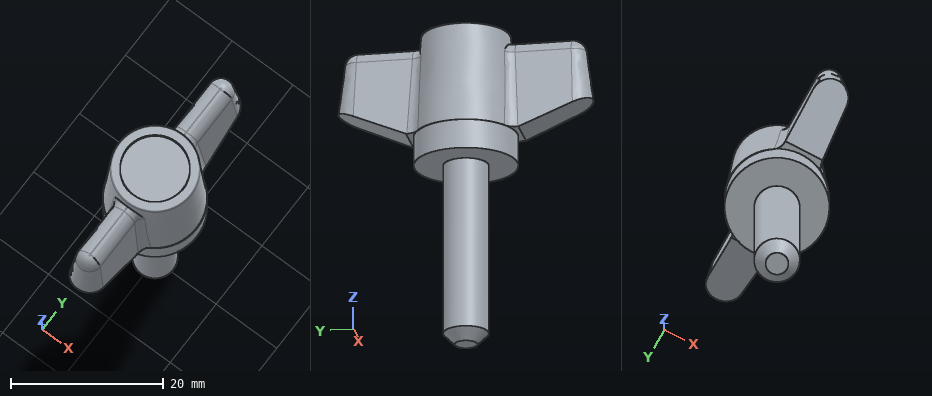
import cadquery as cq
import math

total_height = 42.9
stud_length = 25.0
stud_diameter = 6.0
tip_chamfer = 1.5

collar_diameter = 13.75
collar_height = 4.0
barrel_base_radius = 6.8
barrel_top_radius = 5.9
barrel_edge_round = 0.15
recess_diameter = 9.2
recess_depth = 0.5
barrel_base_z = stud_length + collar_height

wing_span = 34.0
wing_top_z = 41.45
wing_base_half_width = 2.8
wing_top_half_width = 1.65
wing_base_tip_y = 17.55
wing_top_tip_y = 15.9
base_root_radius = 2.0
top_root_radius = 1.4
crown_radius = 1.75
crown_start_y = 4.3

underside_inner_y = 7.5
underside_outer_z = 33.08


def barrel_radius_at(z):
    rise = (z - barrel_base_z) / (total_height - barrel_base_z)
    return barrel_base_radius + rise * (barrel_top_radius - barrel_base_radius)


def make_stud():
    return (
        cq.Workplane("XY")
        .circle(stud_diameter / 2)
        .extrude(stud_length)
        .faces("<Z")
        .chamfer(tip_chamfer)
    )


def make_hub():
    collar = (
        cq.Workplane("XY", origin=(0, 0, stud_length))
        .circle(collar_diameter / 2)
        .extrude(collar_height)
    )
    barrel = (
        cq.Workplane("XY", origin=(0, 0, barrel_base_z))
        .circle(barrel_base_radius)
        .workplane(offset=total_height - barrel_base_z)
        .circle(barrel_top_radius)
        .loft()
        .faces(">Z")
        .edges()
        .fillet(barrel_edge_round)
    )
    return collar.union(barrel)


def wing_section(z, half_width, tip_y, root_radius):
    """Plan outline of the +Y wing, with flares tangent to the barrel at its root."""
    barrel_radius = barrel_radius_at(z)
    flare_x = half_width + root_radius
    flare_reach = barrel_radius + root_radius
    flare_y = math.sqrt(flare_reach**2 - flare_x**2)
    contact_x = flare_x * barrel_radius / flare_reach
    contact_y = flare_y * barrel_radius / flare_reach
    mid_angle = math.pi + math.atan2(flare_y, flare_x) / 2
    mid_x = flare_x + root_radius * math.cos(mid_angle)
    mid_y = flare_y + root_radius * math.sin(mid_angle)
    tip_center_y = tip_y - half_width
    outline = (
        cq.Workplane("XY", origin=(0, 0, z))
        .lineTo(contact_x, contact_y)
        .threePointArc((mid_x, mid_y), (half_width, flare_y))
        .lineTo(half_width, tip_center_y)
        .threePointArc((0, tip_y), (-half_width, tip_center_y))
        .lineTo(-half_width, flare_y)
        .threePointArc((-mid_x, mid_y), (-contact_x, contact_y))
        .close()
    )
    return outline.val()


def make_wing():
    base = wing_section(barrel_base_z, wing_base_half_width, wing_base_tip_y, base_root_radius)
    top = wing_section(wing_top_z, wing_top_half_width, wing_top_tip_y, top_root_radius)
    blade = cq.Workplane(cq.Solid.makeLoft([base, top], True))
    outer_edges = cq.selectors.BoxSelector(
        (-wing_span, crown_start_y, 0),
        (wing_span, wing_span, total_height),
    )
    blade = blade.faces(">Z").edges(outer_edges).fillet(crown_radius)
    underside = (
        cq.Workplane("YZ")
        .moveTo(underside_inner_y, barrel_base_z)
        .lineTo(wing_span / 2, underside_outer_z)
        .lineTo(wing_span, underside_outer_z)
        .lineTo(wing_span, barrel_base_z)
        .close()
        .extrude(collar_diameter, both=True)
    )
    return blade.cut(underside)


def make_recess():
    return (
        cq.Workplane("XY", origin=(0, 0, total_height - recess_depth))
        .circle(recess_diameter / 2)
        .extrude(recess_depth)
    )


wing = make_wing()
result = make_stud().union(make_hub()).union(wing).union(wing.mirror("XZ")).cut(make_recess())